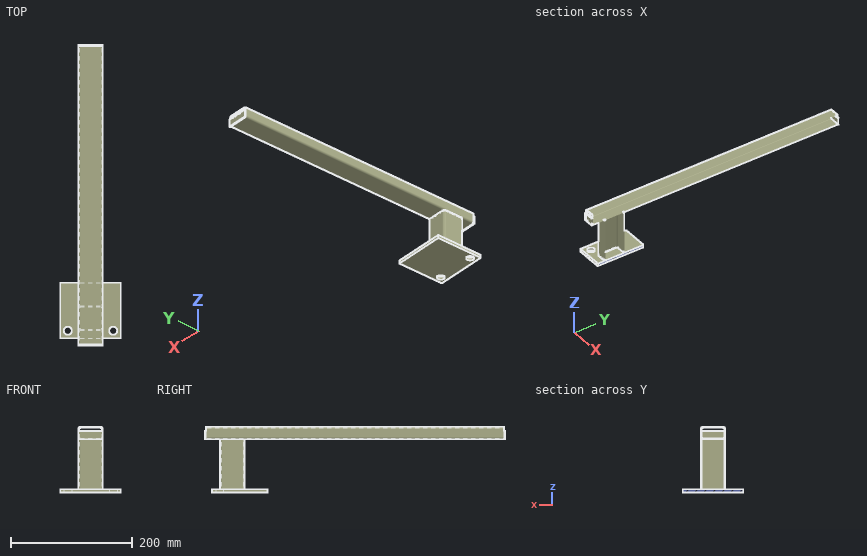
import cadquery as cq

plate_width = 100.0
plate_length = 92.0
plate_thickness = 6.0
hole_diameter = 13.0
hole_spacing = 75.0
hole_edge_distance = (plate_width - hole_spacing) / 2

tube_width = 41.0
tube_wall = 2.0

post_corner_radius = 4.5
post_front_setback = 13.2

assembly_height = 109.0
rail_height = 21.0
rail_corner_radius = 4.0
rail_front_overhang = 10.0
rail_bottom = assembly_height - rail_height
post_height = rail_bottom - plate_thickness

overall_length = 497.0
cap_thickness = 2.0
cap_width = 40.0
cap_height = 14.0
rail_length = overall_length - 2 * cap_thickness
rail_front = -rail_front_overhang
rail_back = rail_front + rail_length


def floor_box(width, length, height):
    """Box centred on X, starting at Y = 0 and Z = 0."""
    return cq.Workplane("XY").box(width, length, height, centered=(True, False, False))


def make_plate():
    """Flat plate with two through holes beside its -Y edge."""
    hole_centres = [(side * hole_spacing / 2, hole_edge_distance) for side in (-1, 1)]
    holes = (
        cq.Workplane("XY")
        .pushPoints(hole_centres)
        .circle(hole_diameter / 2)
        .extrude(plate_thickness)
    )
    return floor_box(plate_width, plate_length, plate_thickness).cut(holes)


def make_post():
    """Square tube with rounded upright corners, from the plate up to the rail."""
    bore_width = tube_width - 2 * tube_wall
    outer = floor_box(tube_width, tube_width, post_height).edges("|Z").fillet(post_corner_radius)
    bore = (
        floor_box(bore_width, bore_width, post_height)
        .edges("|Z")
        .fillet(post_corner_radius - tube_wall)
        .translate((0, tube_wall, 0))
    )
    return outer.cut(bore).translate((0, post_front_setback, plate_thickness))


def make_rail():
    """Open-ended rectangular tube with rounded corners inside and out."""
    bore_width = tube_width - 2 * tube_wall
    bore_height = rail_height - 2 * tube_wall
    outer = floor_box(tube_width, rail_length, rail_height).edges("|Y").fillet(rail_corner_radius)
    bore = (
        floor_box(bore_width, rail_length, bore_height)
        .edges("|Y")
        .fillet(rail_corner_radius - tube_wall)
        .translate((0, 0, tube_wall))
    )
    return outer.cut(bore).translate((0, rail_front, rail_bottom))


def make_end_cap(start_y):
    """Flat cap whose -Y face lies at start_y."""
    return floor_box(cap_width, cap_thickness, cap_height).translate((0, start_y, rail_bottom))


plate = make_plate()
post = make_post()
rail = make_rail()
end_caps = [make_end_cap(start_y) for start_y in (rail_front - cap_thickness, rail_back)]

result = cq.Compound.makeCompound(
    [plate.val(), post.val(), rail.val(), *[cap.val() for cap in end_caps]]
)